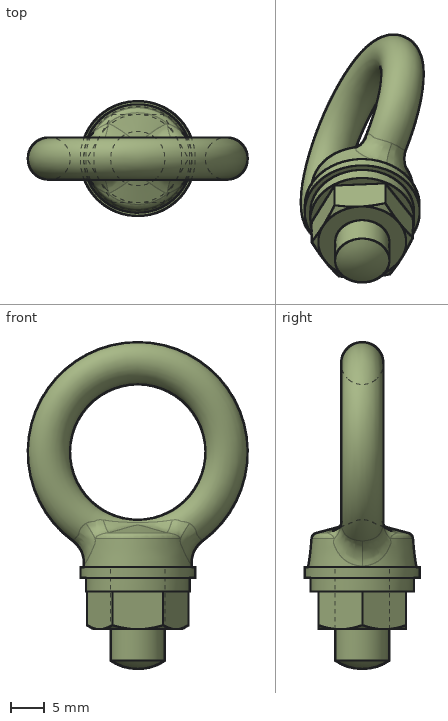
import cadquery as cq
import math

OVERALL_HEIGHT = 48.3
RING_OUTER_DIAMETER = 32.5
RING_TUBE_RADIUS = 3.15
RING_PATH_RADIUS = RING_OUTER_DIAMETER / 2 - RING_TUBE_RADIUS
RING_CENTRE_Z = OVERALL_HEIGHT - RING_OUTER_DIAMETER / 2

SHANK_RADIUS = 4.0
DOME_HEIGHT = 1.25

NUT_BOTTOM_Z = 5.9
NUT_THICKNESS = 5.55
NUT_ACROSS_FLATS = 13.0
NUT_CHAMFER_ANGLE = 30.0
SPRING_WASHER_RADIUS = 7.7
SPRING_WASHER_THICKNESS = 2.05
FLAT_WASHER_RADIUS = 8.5
FLAT_WASHER_THICKNESS = 1.6
NUT_TOP_Z = NUT_BOTTOM_Z + NUT_THICKNESS
SPRING_WASHER_TOP_Z = NUT_TOP_Z + SPRING_WASHER_THICKNESS
BOSS_BOTTOM_Z = SPRING_WASHER_TOP_Z + FLAT_WASHER_THICKNESS

BOSS_BASE_RADIUS = 8.0
BOSS_SHOULDER_RADIUS = 7.45
BOSS_SHOULDER_HEIGHT = 4.9
BOSS_APEX_HEIGHT = 6.85
SHOULDER_FILLET = 1.0
RING_BLEND_RADIUS = 4.0


def make_ring():
    return cq.Workplane(
        cq.Solid.makeTorus(
            RING_PATH_RADIUS,
            RING_TUBE_RADIUS,
            cq.Vector(0, 0, RING_CENTRE_Z),
            cq.Vector(0, 1, 0),
        )
    )


def make_boss():
    shoulder_z = BOSS_BOTTOM_Z + BOSS_SHOULDER_HEIGHT
    boss = (
        cq.Workplane("XZ")
        .moveTo(0, BOSS_BOTTOM_Z)
        .lineTo(BOSS_BASE_RADIUS, BOSS_BOTTOM_Z)
        .lineTo(BOSS_SHOULDER_RADIUS, shoulder_z)
        .lineTo(0, BOSS_BOTTOM_Z + BOSS_APEX_HEIGHT)
        .close()
        .revolve(360, (0, 0), (0, 1))
    )
    shoulder_edge = boss.edges("%CIRCLE").edges(">Z")
    return shoulder_edge.fillet(SHOULDER_FILLET)


def make_shank():
    return (
        cq.Workplane("XZ")
        .lineTo(0, BOSS_BOTTOM_Z)
        .lineTo(SHANK_RADIUS, BOSS_BOTTOM_Z)
        .lineTo(SHANK_RADIUS, DOME_HEIGHT)
        .radiusArc((0, 0), (SHANK_RADIUS**2 + DOME_HEIGHT**2) / (2 * DOME_HEIGHT))
        .close()
        .revolve(360, (0, 0), (0, 1))
    )


def make_eye_bolt():
    head = make_boss().union(make_ring())
    head = head.edges("%BSPLINE").fillet(RING_BLEND_RADIUS)
    return head.union(make_shank())


def make_washer(bottom_z, radius, thickness):
    return (
        cq.Workplane("XY", origin=(0, 0, bottom_z))
        .circle(radius)
        .circle(SHANK_RADIUS)
        .extrude(thickness)
    )


def make_nut():
    across_corners = NUT_ACROSS_FLATS / math.cos(math.pi / 6)
    face_radius = NUT_ACROSS_FLATS / 2
    slope = math.tan(math.radians(NUT_CHAMFER_ANGLE))
    hexagon = (
        cq.Workplane("XY", origin=(0, 0, NUT_BOTTOM_Z))
        .polygon(6, across_corners)
        .circle(SHANK_RADIUS)
        .extrude(NUT_THICKNESS)
    )
    envelope = (
        cq.Workplane("XZ")
        .moveTo(0, NUT_BOTTOM_Z)
        .lineTo(face_radius, NUT_BOTTOM_Z)
        .lineTo(across_corners, NUT_BOTTOM_Z + (across_corners - face_radius) * slope)
        .lineTo(across_corners, NUT_TOP_Z)
        .lineTo(0, NUT_TOP_Z)
        .close()
        .revolve(360, (0, 0), (0, 1))
    )
    return hexagon.intersect(envelope)


eye_bolt = make_eye_bolt()
flat_washer = make_washer(SPRING_WASHER_TOP_Z, FLAT_WASHER_RADIUS, FLAT_WASHER_THICKNESS)
spring_washer = make_washer(NUT_TOP_Z, SPRING_WASHER_RADIUS, SPRING_WASHER_THICKNESS)
nut = make_nut()

result = cq.Compound.makeCompound([eye_bolt.val(), flat_washer.val(), spring_washer.val(), nut.val()])